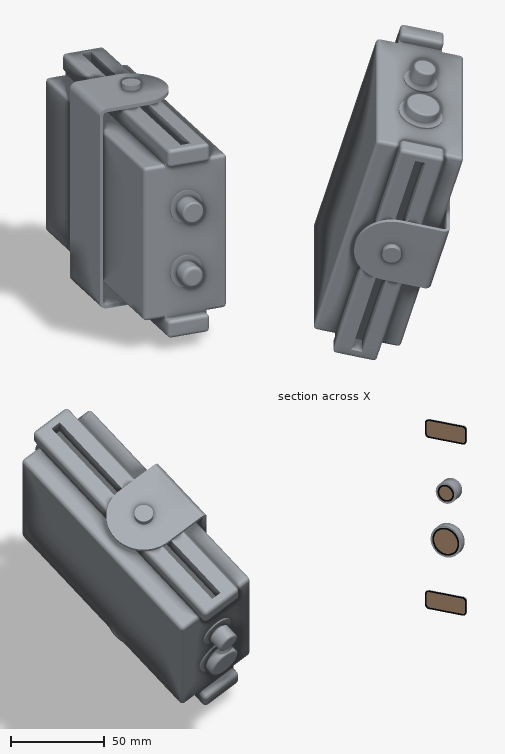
import cadquery as cq

body_length = 133.0
body_width = 48.0
body_height = 89.0
edge_radius = 2.0

rail_length = 142.9
rail_width = 24.0
rail_height = 10.2
rail_top = body_height / 2 + rail_height
slot_length = body_length
slot_width = 5.7
slot_depth = rail_height

bracket_x = -6.5
bracket_width = 40.0
bracket_height = 116.0
bracket_front = 27.0
bracket_thickness = 2.0
bend_radius = 2 * bracket_thickness
leg_end_radius = bracket_width / 2

pin_head_diameter = 10.0
pin_neck_diameter = 6.2
pin_head_height = 3.5

overall_length = 154.0
connector_reach = (overall_length - body_length) / 2
flange_thickness = 1.0
small_flange_diameter = 18.3
small_head_diameter = 12.0
small_neck_diameter = 9.1
large_flange_diameter = 23.9
large_head_diameter = 18.2
large_neck_diameter = 15.2
large_reach = 7.2
neck_length = 1.2
head_rounding = 1.1
plug_rounding = 2.0
left_connector_z = 14.0
right_connector_z = 18.8


def rounded_box(length, width, height):
    return cq.Workplane("XY").box(length, width, height).edges().fillet(edge_radius)


def disc(x_start, x_end, z, diameter):
    """Cylinder along X between two distances from the centre plane."""
    plane = cq.Workplane("YZ", origin=(x_start, 0, z))
    return plane.circle(diameter / 2).extrude(x_end - x_start)


def make_housing():
    housing = rounded_box(body_length, body_width, body_height)
    web_height = body_height + rail_height
    housing = housing.union(cq.Workplane("XY").box(body_length, rail_width, web_height))
    rail_centre = rail_top - rail_height / 2
    slot_centre = rail_top - slot_depth / 2
    slot = cq.Workplane("XY").box(slot_length, slot_width, slot_depth)
    for side in (1, -1):
        rail = rounded_box(rail_length, rail_width, rail_height)
        housing = housing.union(rail.translate((0, 0, side * rail_centre)))
        housing = housing.cut(slot.translate((0, 0, side * slot_centre)))
    return housing


def make_bracket():
    leg_length = bracket_front + leg_end_radius
    middle_y = leg_end_radius - leg_length / 2
    outer = (
        cq.Workplane("XY")
        .box(bracket_width, leg_length, bracket_height)
        .edges("|X and <Y")
        .fillet(bend_radius)
    )
    inner = (
        cq.Workplane("XY")
        .box(bracket_width, leg_length, bracket_height - 2 * bracket_thickness)
        .edges("|X and <Y")
        .fillet(bend_radius - bracket_thickness)
        .translate((0, bracket_thickness, 0))
    )
    plan = (
        cq.Workplane("XY", origin=(0, 0, -bracket_height / 2))
        .moveTo(-bracket_width / 2, -bracket_front)
        .lineTo(bracket_width / 2, -bracket_front)
        .lineTo(bracket_width / 2, 0)
        .threePointArc((0, leg_end_radius), (-bracket_width / 2, 0))
        .close()
        .extrude(bracket_height)
    )
    bracket = outer.cut(inner).translate((0, middle_y, 0)).intersect(plan)
    return bracket.translate((bracket_x, 0, 0))


def make_pin():
    """Upper pivot pin, standing on the slot floor and passing through the bracket."""
    slot_floor = rail_top - slot_depth
    head_base = bracket_height / 2
    neck = (
        cq.Workplane("XY", origin=(bracket_x, 0, slot_floor))
        .circle(pin_neck_diameter / 2)
        .extrude(head_base - slot_floor)
    )
    head = (
        cq.Workplane("XY", origin=(bracket_x, 0, head_base))
        .circle(pin_head_diameter / 2)
        .extrude(pin_head_height)
    )
    return neck.union(head)


def make_connector(z, reach, flange_diameter, head_diameter, neck_diameter, rounding):
    """Flange, neck and round-edged head projecting from the +X end face."""
    face = body_length / 2
    flange_end = face + flange_thickness
    neck_end = flange_end + neck_length
    flange = disc(face, flange_end, z, flange_diameter)
    neck = disc(flange_end, neck_end, z, neck_diameter)
    head = disc(neck_end, face + reach, z, head_diameter).faces(">X").edges().fillet(rounding)
    return flange.union(neck).union(head)


result = make_housing().union(make_bracket())

pin = make_pin()
result = result.union(pin).union(pin.mirror("XY"))

left_connectors = [
    make_connector(left_connector_z, connector_reach, small_flange_diameter,
                   small_head_diameter, small_neck_diameter, head_rounding),
    make_connector(-left_connector_z, large_reach, large_flange_diameter,
                   large_head_diameter, large_neck_diameter, head_rounding),
]
for connector in left_connectors:
    result = result.union(connector.mirror("YZ"))

for z, rounding in ((right_connector_z, head_rounding), (-right_connector_z, plug_rounding)):
    connector = make_connector(z, connector_reach, small_flange_diameter,
                               small_head_diameter, small_head_diameter, rounding)
    result = result.union(connector)